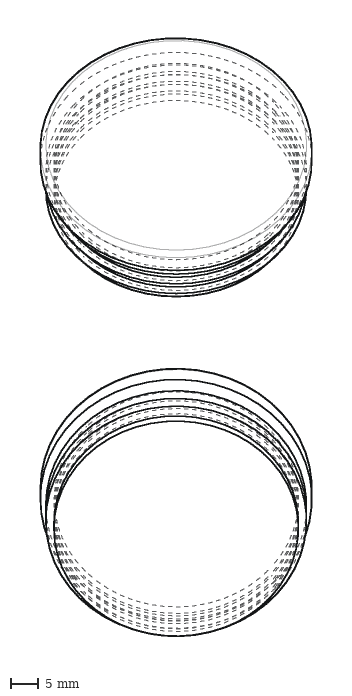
import cadquery as cq

cap_diameter = 50.0
cap_height = 5.0
cap_edge_radius = 1.0

stem_diameter = 45.0
stem_height = 11.5

fin_diameter = 48.0
fin_height = 1.0
fin_count = 3
fin_pitch = 3.0
first_fin_base = 2.0


def make_cap():
    """Disc on top of the stem, with its upper rim rounded."""
    disc = cq.Workplane("XY").workplane(offset=stem_height).circle(cap_diameter / 2).extrude(cap_height)
    return disc.faces(">Z").edges().fillet(cap_edge_radius)


def make_fin(base_z):
    """Solid cone section that widens upward to a flat top face."""
    return (
        cq.Workplane("XY")
        .workplane(offset=base_z)
        .circle(stem_diameter / 2)
        .workplane(offset=fin_height)
        .circle(fin_diameter / 2)
        .loft(ruled=True)
    )


stem = cq.Workplane("XY").circle(stem_diameter / 2).extrude(stem_height)
result = stem.union(make_cap())

for fin_index in range(fin_count):
    result = result.union(make_fin(first_fin_base + fin_index * fin_pitch))